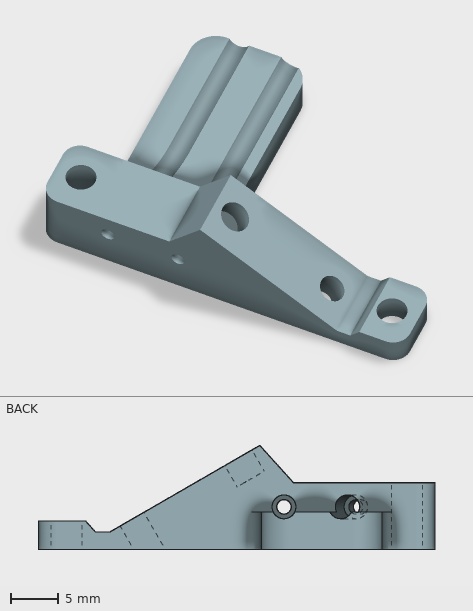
import cadquery as cq
import math

bar_length = 42.0
bar_depth = 8.0
bar_corner_radius = 1.97
bar_mid_y = bar_depth / 2

total_height = 11.05
shoulder_height = 7.1
ramp_start_x = 15.0
peak_x = 18.55
slope_angle = math.radians(30)
valley_height = 1.9
valley_start_x = peak_x + (total_height - valley_height) / math.tan(slope_angle)
valley_end_x = 35.95
pad_start_x = 37.0
pad_height = 3.05

plate_left_x = 5.63
plate_right_x = 18.4
plate_end_y = 29.4
plate_thickness = 4.0
plate_corner_radius = 3.0
root_fillet_radius = 0.95

mount_hole_diameter = 3.28
mount_hole_inset = 3.0

blind_hole_x = 20.85
blind_hole_diameter = 3.3
blind_hole_depth = 2.6
through_hole_x = 32.1
through_hole_diameter = 2.9
through_hole_depth = 8.4

channel_height = 4.55
mouth_radius = 0.75
channel_radius = 1.25
mouth_length = 2.95
overrun = 0.85
straight_channel_x = 16.0
bent_channel_x = 10.0
bend_start_y = 13.7
bend_radius = 19.3
bend_angle = math.radians(10)


def make_bar():
    profile = [
        (0, 0),
        (bar_length, 0),
        (bar_length, pad_height),
        (pad_start_x, pad_height),
        (valley_end_x, valley_height),
        (valley_start_x, valley_height),
        (peak_x, total_height),
        (ramp_start_x, shoulder_height),
        (0, shoulder_height),
    ]
    bar = cq.Workplane("XZ").polyline(profile).close().extrude(-bar_depth)
    corner_edges = bar.edges("|Z").edges("<X or >X")
    return corner_edges.fillet(bar_corner_radius)


def make_plate():
    plate = (
        cq.Workplane("XY")
        .moveTo(plate_left_x, bar_mid_y)
        .lineTo(plate_right_x, bar_mid_y)
        .lineTo(plate_right_x, plate_end_y)
        .lineTo(plate_left_x, plate_end_y)
        .close()
        .extrude(plate_thickness)
    )
    return plate.edges("|Z and >Y").fillet(plate_corner_radius)


def make_root_fillet(side_x, outward):
    """Concave web between the bar and one plate side; outward is -1 or +1 along X."""
    r = root_fillet_radius
    arc_offset = r * (1 - math.sqrt(0.5))
    return (
        cq.Workplane("XY")
        .moveTo(side_x, bar_depth)
        .lineTo(side_x + outward * r, bar_depth)
        .threePointArc(
            (side_x + outward * arc_offset, bar_depth + arc_offset),
            (side_x, bar_depth + r),
        )
        .close()
        .extrude(plate_thickness)
    )


def slope_hole(center_x, diameter, depth):
    normal = cq.Vector(math.sin(slope_angle), 0, math.cos(slope_angle))
    surface_z = total_height - (center_x - peak_x) * math.tan(slope_angle)
    start = cq.Vector(center_x, bar_mid_y, surface_z) + normal * overrun
    return cq.Solid.makeCylinder(diameter / 2, depth + overrun, start, normal * -1)


def straight_channel(radius, start_y):
    start = cq.Vector(straight_channel_x, start_y, channel_height)
    length = plate_end_y + overrun - start_y
    return cq.Solid.makeCylinder(radius, length, start, cq.Vector(0, 1, 0))


def bent_channel(radius, start_y):
    """Round channel slanting across the bar, then bending parallel to Y."""

    def bend_point(angle):
        x = bent_channel_x - bend_radius * (1 - math.cos(angle))
        y = bend_start_y - bend_radius * math.sin(angle)
        return (x, y)

    bend_end_x, bend_end_y = bend_point(bend_angle)
    start_x = bend_end_x - (bend_end_y - start_y) * math.tan(bend_angle)
    path = (
        cq.Workplane("XY", origin=(0, 0, channel_height))
        .moveTo(start_x, start_y)
        .lineTo(bend_end_x, bend_end_y)
        .threePointArc(bend_point(bend_angle / 2), (bent_channel_x, bend_start_y))
        .lineTo(bent_channel_x, plate_end_y + overrun)
    )
    section = cq.Plane(
        origin=(start_x, start_y, channel_height),
        xDir=(0, 0, 1),
        normal=(math.sin(bend_angle), math.cos(bend_angle), 0),
    )
    return cq.Workplane(section).circle(radius).sweep(path)


result = make_bar().union(make_plate())
result = result.union(make_root_fillet(plate_left_x, -1))
result = result.union(make_root_fillet(plate_right_x, 1))

for hole_x in (mount_hole_inset, bar_length - mount_hole_inset):
    mount_hole = (
        cq.Workplane("XY")
        .center(hole_x, bar_mid_y)
        .circle(mount_hole_diameter / 2)
        .extrude(total_height)
    )
    result = result.cut(mount_hole)

result = result.cut(slope_hole(blind_hole_x, blind_hole_diameter, blind_hole_depth))
result = result.cut(slope_hole(through_hole_x, through_hole_diameter, through_hole_depth))

for radius, start_y in ((mouth_radius, -overrun), (channel_radius, mouth_length)):
    result = result.cut(straight_channel(radius, start_y))
    result = result.cut(bent_channel(radius, start_y))